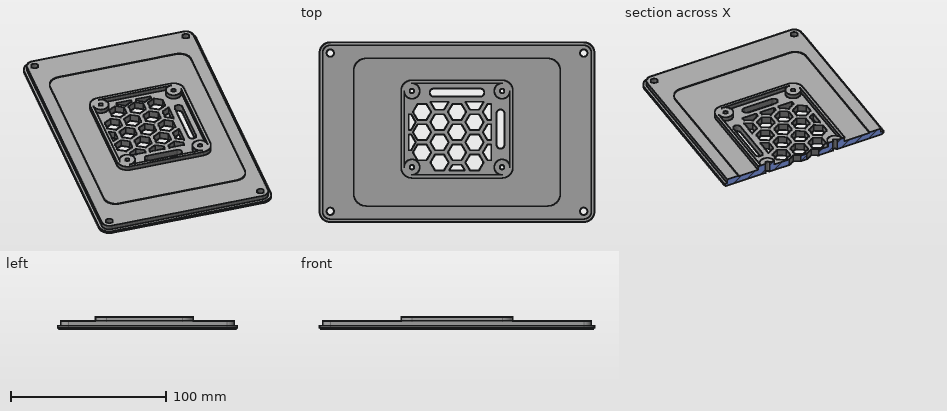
import cadquery as cq
import math

FLANGE_LENGTH = 177.1
FLANGE_WIDTH = 115.8
FLANGE_THICKNESS = 2.5
FLANGE_CORNER_RADIUS = 7.0
FLANGE_CHAMFER = 1.2

PLATE_INSET = 2.0
PLATE_TOP = 5.5
CORNER_HOLE_DIAMETER = 4.6

RECESS_LENGTH = 133.0
RECESS_WIDTH = 95.0
RECESS_CORNER_RADIUS = 8.0
RECESS_DEPTH = 0.5

TOTAL_HEIGHT = 8.0
BOSS_SPACING_X = 58.0
BOSS_SPACING_Y = 49.0
BOSS_DIAMETER = 10.0
SCREW_HOLE_DIAMETER = 2.75
FRAME_WALL = 2.0
FRAME_CENTER_Y = 2.0

SLOT_WIDTH = 5.0
LONG_SLOT_LENGTH = 35.0
SHORT_SLOT_LENGTH = 25.0
SLOT_MARGIN = 3.5

HEX_ACROSS_FLATS = 10.0
HEX_RIB = 3.0
LEFT_COLUMN_SHIFT = 1.35
WINDOW_MARGIN = 3.0

recess_floor = PLATE_TOP - RECESS_DEPTH
boss_radius = BOSS_DIAMETER / 2
inner_length = BOSS_SPACING_X + BOSS_DIAMETER
inner_width = BOSS_SPACING_Y + BOSS_DIAMETER
inner_right = inner_length / 2
inner_left = -inner_right
inner_top = FRAME_CENTER_Y + inner_width / 2
inner_bottom = FRAME_CENTER_Y - inner_width / 2
slot_inset = SLOT_MARGIN + SLOT_WIDTH / 2
slot_band = SLOT_WIDTH + 2 * SLOT_MARGIN
boss_centers = [
    (side_x * BOSS_SPACING_X / 2, FRAME_CENTER_Y + side_y * BOSS_SPACING_Y / 2)
    for side_x in (-1, 1)
    for side_y in (-1, 1)
]


def rounded_block(length, width, radius, bottom, top, center_y=0.0):
    """Upright block with rounded vertical edges, centred on X = 0."""
    outline = cq.Workplane("XY", origin=(0, center_y, bottom)).rect(length, width)
    return outline.extrude(top - bottom).edges("|Z").fillet(radius)


def cylinders(centers, diameter, bottom, top):
    """Upright cylinders at the given centres."""
    circles = cq.Workplane("XY", origin=(0, 0, bottom)).pushPoints(centers).circle(diameter / 2)
    return circles.extrude(top - bottom)


def make_base():
    """Chamfered flange and plate with corner holes and the shallow recess."""
    flange = rounded_block(FLANGE_LENGTH, FLANGE_WIDTH, FLANGE_CORNER_RADIUS, 0, FLANGE_THICKNESS)
    flange = flange.faces("<Z").edges().chamfer(FLANGE_CHAMFER)
    plate = rounded_block(
        FLANGE_LENGTH - 2 * PLATE_INSET,
        FLANGE_WIDTH - 2 * PLATE_INSET,
        FLANGE_CORNER_RADIUS - PLATE_INSET,
        FLANGE_THICKNESS,
        PLATE_TOP,
    )
    recess = rounded_block(RECESS_LENGTH, RECESS_WIDTH, RECESS_CORNER_RADIUS, recess_floor, PLATE_TOP)
    hole_x = FLANGE_LENGTH / 2 - FLANGE_CORNER_RADIUS
    hole_y = FLANGE_WIDTH / 2 - FLANGE_CORNER_RADIUS
    hole_centers = [(sx * hole_x, sy * hole_y) for sx in (-1, 1) for sy in (-1, 1)]
    holes = cylinders(hole_centers, CORNER_HOLE_DIAMETER, 0, PLATE_TOP)
    return flange.union(plate).cut(recess).cut(holes)


def make_frame():
    """Raised wall around the grille, open inside except for the corner bosses."""
    outer = rounded_block(
        inner_length + 2 * FRAME_WALL,
        inner_width + 2 * FRAME_WALL,
        boss_radius + FRAME_WALL,
        recess_floor,
        TOTAL_HEIGHT,
        FRAME_CENTER_Y,
    )
    inner = rounded_block(
        inner_length, inner_width, boss_radius, recess_floor, TOTAL_HEIGHT, FRAME_CENTER_Y
    )
    bosses = cylinders(boss_centers, BOSS_DIAMETER, recess_floor, TOTAL_HEIGHT)
    return outer.cut(inner).union(bosses)


def make_slots():
    """One slot along the +Y wall of the frame and one along its +X wall."""
    long_slot = cq.Workplane("XY", origin=(0, inner_top - slot_inset, 0))
    long_slot = long_slot.slot2D(LONG_SLOT_LENGTH, SLOT_WIDTH)
    short_slot = cq.Workplane("XY", origin=(inner_right - slot_inset, FRAME_CENTER_Y, 0))
    short_slot = short_slot.slot2D(SHORT_SLOT_LENGTH, SLOT_WIDTH, 90)
    return long_slot.extrude(recess_floor).union(short_slot.extrude(recess_floor))


def make_honeycomb():
    """Hexagonal openings clipped to the window; cells centred too close to a boss are left out."""
    pitch = HEX_ACROSS_FLATS + HEX_RIB
    column_pitch = pitch * math.cos(math.pi / 6)
    boss_clearance = boss_radius + HEX_ACROSS_FLATS / 2
    max_column = math.floor(inner_right / column_pitch)
    max_row = math.ceil(inner_top / pitch)
    cell_centers = []
    for column in range(-max_column, max_column + 1):
        x = column * column_pitch
        if column == -max_column:
            x += LEFT_COLUMN_SHIFT
        for row in range(-max_row, max_row + 1):
            y = (row + 0.5 * (column % 2)) * pitch
            if all(math.hypot(x - bx, y - by) > boss_clearance for bx, by in boss_centers):
                cell_centers.append((x, y))

    hex_diameter = HEX_ACROSS_FLATS / math.cos(math.pi / 6)
    cells = cq.Workplane("XY").pushPoints(cell_centers).polygon(6, hex_diameter).extrude(recess_floor)
    left = inner_left + WINDOW_MARGIN
    right = inner_right - slot_band
    bottom = inner_bottom + WINDOW_MARGIN
    top = inner_top - slot_band
    window = cq.Workplane("XY").box(right - left, top - bottom, recess_floor, centered=False)
    return cells.intersect(window.translate((left, bottom, 0)))


screw_holes = cylinders(boss_centers, SCREW_HOLE_DIAMETER, 0, TOTAL_HEIGHT)
result = make_base().cut(make_slots()).cut(make_honeycomb()).union(make_frame()).cut(screw_holes)